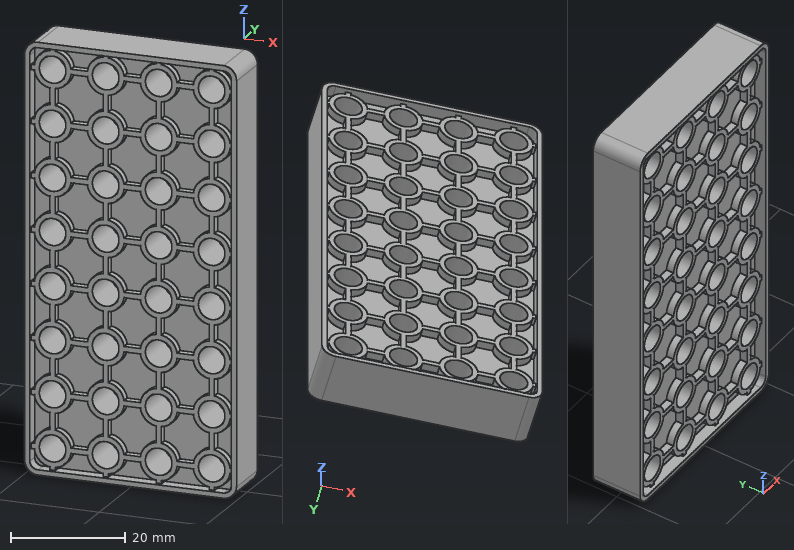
import cadquery as cq

pitch = 10.0
columns = 4
rows = 8
hole_diameter = 5.0
boss_diameter = 7.0
rib_thickness = 1.0

width = columns * pitch
height = rows * pitch
depth = 10.0
wall = 1.0
corner_radius = 2.5
inner_corner_radius = corner_radius - wall

grid_recess = 0.8
floor_recess = 2.3

front_y = -depth / 2
grid_y = front_y + grid_recess
floor_y = front_y + floor_recess
back_y = depth / 2


def plane_at(y):
    """Workplane at the given Y, with X right, Z up and its normal toward -Y."""
    return cq.Workplane("XZ", origin=(0, y, 0))


def slab(size_x, size_z, radius, start_y, end_y):
    """Rounded rectangular block reaching from start_y back to end_y."""
    block = plane_at(end_y).rect(size_x, size_z).extrude(end_y - start_y)
    return block.edges("|Y").fillet(radius)


def grid_cylinders(diameter, start_y, end_y):
    """One cylinder at every grid point, reaching from start_y back to end_y."""
    points = plane_at(end_y).rarray(pitch, pitch, columns, rows)
    return points.circle(diameter / 2).extrude(end_y - start_y)


def make_tray():
    body = slab(width, height, corner_radius, front_y, back_y)
    cavity = slab(width - 2 * wall, height - 2 * wall, inner_corner_radius, front_y, floor_y)
    return body.cut(cavity)


def make_ribs():
    """Crossing ribs on every row and column line, ending inside the tray wall."""
    rib_depth = floor_y - grid_y
    rib_length_x = width - wall
    rib_length_z = height - wall
    upright = plane_at(floor_y).rarray(pitch, pitch, columns, 1)
    upright = upright.rect(rib_thickness, rib_length_z).extrude(rib_depth)
    level = plane_at(floor_y).rarray(pitch, pitch, 1, rows)
    level = level.rect(rib_length_x, rib_thickness).extrude(rib_depth)
    return upright.union(level)


bosses = grid_cylinders(boss_diameter, grid_y, floor_y)
holes = grid_cylinders(hole_diameter, front_y, back_y)

result = make_tray().union(make_ribs()).union(bosses).cut(holes)